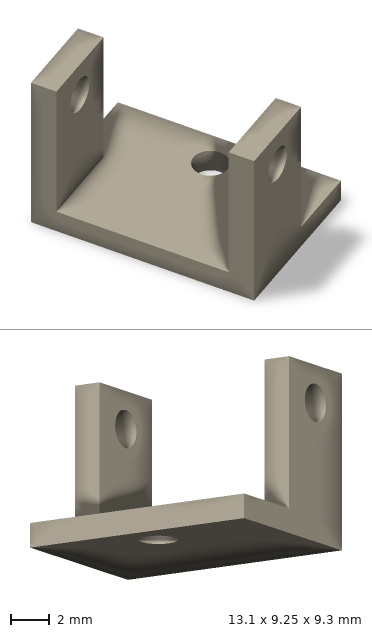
import cadquery as cq

width = 13.1
depth = 9.25
height = 9.3

base_thickness = 1.3
ear_thickness = 1.49
ear_depth = 5.0

hole_diameter = 2.0
hole_edge_distance = 2.0


def block(size_x, size_y, size_z, left=0):
    """Block whose front lower left corner lies at (left, 0, 0)."""
    return cq.Workplane("XY").box(size_x, size_y, size_z, centered=False).translate((left, 0, 0))


body = block(width, depth, base_thickness)
for ear_left in (0, width - ear_thickness):
    body = body.union(block(ear_thickness, ear_depth, height, ear_left))

mounting_hole = (
    cq.Workplane("XY")
    .center(width / 2, depth - hole_edge_distance)
    .circle(hole_diameter / 2)
    .extrude(base_thickness)
)

cross_hole = (
    cq.Workplane("YZ")
    .center(ear_depth / 2, height - hole_edge_distance)
    .circle(hole_diameter / 2)
    .extrude(width)
)

result = body.cut(mounting_hole).cut(cross_hole)